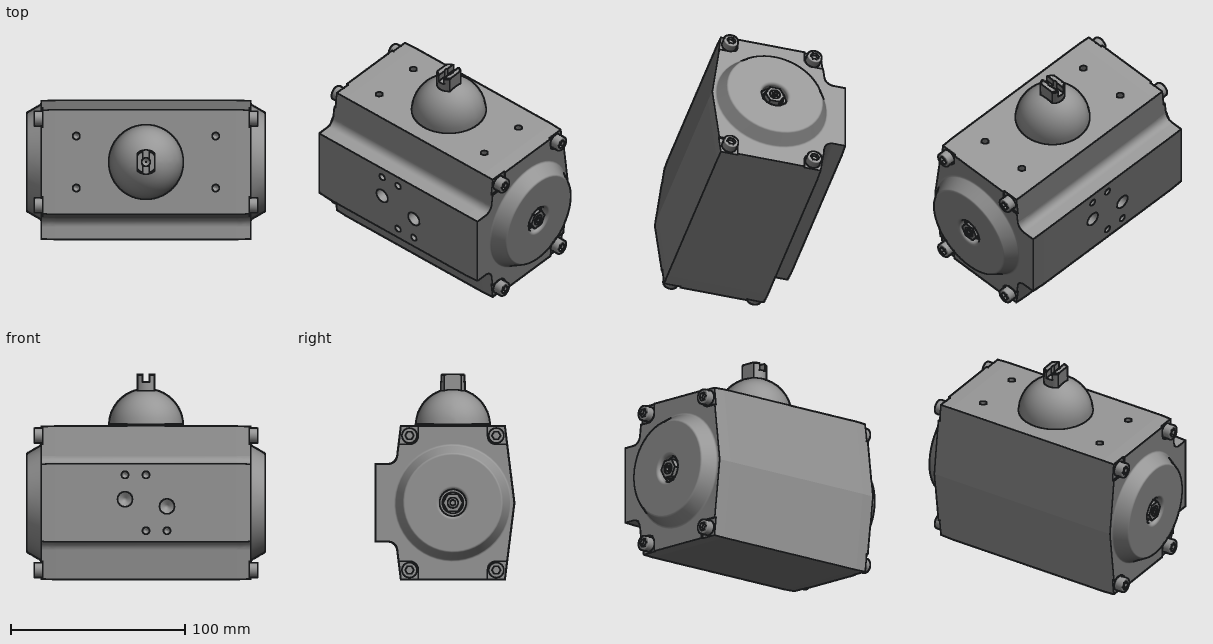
import cadquery as cq
import math

OVERALL_LENGTH = 137.0
DOME_FACE_X = OVERALL_LENGTH / 2
CAP_FACE_X = 60.3
BODY_END_X = 52.0
CAP_LENGTH = CAP_FACE_X - BODY_END_X
CAP_DRAFT = 2.0

BODY_HALF_HEIGHT = 44.1
TOP_HALF_WIDTH = 30.0
REAR_RIDGE_Y = 35.5
PAD_FACE_Y = -44.5
PAD_HALF_HEIGHT = 22.5
PAD_FILLET = 5.1

DOME_FACE_RADIUS = 28.4
DOME_CONE_ANGLE = 30.0
DOME_FILLET = 1.4

RECESS_DIAMETER = 15.3
RECESS_MOUTH_FILLET = 1.9
RECESS_DEPTH = 4.8
WASHER_DIAMETER = 12.0
WASHER_HEIGHT = 0.5
NUT_CORNERS = 11.5
NUT_FACE_DEPTH = 0.5
SCREW_DIAMETER = 6.0
SCREW_PROTRUSION = 0.3
SCREW_SOCKET_FLATS = 3.0
SCREW_SOCKET_DEPTH = 2.0

BOLT_Y = 25.0
BOLT_Z = 38.6
BOLT_HEAD_DIAMETER = 8.6
BOLT_HEAD_END_X = 64.3
BOLT_HEAD_FILLET = 0.5
BOLT_SOCKET_CORNERS = 5.0
BOLT_SOCKET_DEPTH = 2.0
SEAT_RADIUS = 5.1
SEAT_DEPTH = 1.0
SEAT_X = CAP_FACE_X - SEAT_DEPTH

SHAFT_TOP_Z = 73.8
SHAFT_DIAMETER = 14.0
SHAFT_FLATS = 10.0
SHAFT_CHAMFER = 0.7
SHAFT_SLOT_WIDTH = 4.0
SHAFT_SLOT_DEPTH = 4.4
SHAFT_HOLE_DIAMETER = 5.0
SHAFT_HOLE_DEPTH = 6.8
COLLAR_DIAMETER = 22.0
INDICATOR_RADIUS = 21.5
INDICATOR_GAP = 1.1

DRILL_POINT_ANGLE = 118.0
DOWN = (0, 0, -1)
INWARD = (0, 1, 0)
MOUNT_HOLE_DIAMETER = 4.1
MOUNT_HOLE_DEPTH = 8.2
TOP_HOLE_X = 40.0
TOP_HOLE_Y = 15.0
PAD_HOLE_X = 12.0
PAD_HOLE_Z = 16.0
PORT_DIAMETER = 8.6
PORT_DEPTH = 8.2
PORT_Z = 2.0


def body_outline(plane):
    """Cross-section with a ridged rear side and a raised pad at the front."""
    side_slope = (REAR_RIDGE_Y - TOP_HALF_WIDTH) / BODY_HALF_HEIGHT
    pad_root_y = -TOP_HALF_WIDTH - side_slope * (BODY_HALF_HEIGHT - PAD_HALF_HEIGHT)
    points = [
        (REAR_RIDGE_Y, 0),
        (TOP_HALF_WIDTH, BODY_HALF_HEIGHT),
        (-TOP_HALF_WIDTH, BODY_HALF_HEIGHT),
        (pad_root_y, PAD_HALF_HEIGHT),
        (PAD_FACE_Y, PAD_HALF_HEIGHT),
        (PAD_FACE_Y, -PAD_HALF_HEIGHT),
        (pad_root_y, -PAD_HALF_HEIGHT),
        (-TOP_HALF_WIDTH, -BODY_HALF_HEIGHT),
        (TOP_HALF_WIDTH, -BODY_HALF_HEIGHT),
    ]
    return plane.polyline(points).close()


def end_plane(x):
    """Y-Z plane at the given X, facing +X."""
    return cq.Workplane("YZ", origin=(x, 0, 0))


def round_pad_roots(solid):
    """Fillet the two inner edges where the pad meets the sloping side."""
    pad_roots = cq.selectors.BoxSelector(
        (-CAP_FACE_X, -TOP_HALF_WIDTH - 4.1, -PAD_HALF_HEIGHT - 1.4),
        (CAP_FACE_X, -TOP_HALF_WIDTH - 1.4, PAD_HALF_HEIGHT + 1.4),
    )
    return solid.edges(pad_roots).edges("not(#X)").fillet(PAD_FILLET)


def make_half_body():
    """Half of the body with its drafted cap, on the +X side."""
    half_body = round_pad_roots(body_outline(end_plane(0)).extrude(BODY_END_X))
    joint = half_body.faces(">X").wires().toPending()
    cap = joint.workplane().extrude(CAP_LENGTH, taper=CAP_DRAFT, combine=False)
    return half_body.union(cap)


def make_end_dome():
    """Truncated cone on the cap face, blended into it with a concave fillet."""
    spread = math.tan(math.radians(DOME_CONE_ANGLE))
    foot_radius = DOME_FACE_RADIUS + (DOME_FACE_X - CAP_FACE_X) * spread
    flange_radius = foot_radius + DOME_FILLET
    profile = [
        (BODY_END_X, 0),
        (DOME_FACE_X, 0),
        (DOME_FACE_X, DOME_FACE_RADIUS),
        (CAP_FACE_X, foot_radius),
        (CAP_FACE_X, flange_radius),
        (BODY_END_X, flange_radius),
    ]
    dome = cq.Workplane("XY").polyline(profile).close().revolve(360, (0, 0, 0), (1, 0, 0))
    rim = dome.faces(">X").edges()
    foot = dome.edges(cq.selectors.RadiusNthSelector(1))
    return rim.add(foot).fillet(DOME_FILLET)


def cut_stop_recess(solid):
    """Round recess in the dome face with a rounded mouth."""
    floor_x = DOME_FACE_X - RECESS_DEPTH
    recess = end_plane(floor_x).circle(RECESS_DIAMETER / 2).extrude(RECESS_DEPTH)
    mouth = cq.selectors.BoxSelector(
        (DOME_FACE_X - 0.1, -RECESS_DIAMETER, -RECESS_DIAMETER),
        (DOME_FACE_X + 0.1, RECESS_DIAMETER, RECESS_DIAMETER),
        boundingbox=True,
    )
    return solid.cut(recess).edges(mouth).fillet(RECESS_MOUTH_FILLET)


def make_stop_screw():
    """Washer, nut and socketed screw end standing on the recess floor."""
    floor_x = DOME_FACE_X - RECESS_DEPTH
    nut_height = RECESS_DEPTH - NUT_FACE_DEPTH
    screw_height = nut_height + SCREW_PROTRUSION
    washer = end_plane(floor_x).circle(WASHER_DIAMETER / 2).extrude(WASHER_HEIGHT)
    nut = end_plane(floor_x).polygon(6, NUT_CORNERS).extrude(nut_height)
    screw = end_plane(floor_x).circle(SCREW_DIAMETER / 2).extrude(screw_height)
    socket = (
        end_plane(floor_x + screw_height)
        .polygon(6, SCREW_SOCKET_FLATS, circumscribed=True)
        .extrude(-SCREW_SOCKET_DEPTH)
    )
    return washer.union(nut).union(screw).cut(socket)


def make_bolt_seat(side_y, side_z):
    """Cutter for a corner seat, open outwards and rounded around the bolt."""
    reach = 2 * SEAT_RADIUS
    corner_offset = (reach - SEAT_RADIUS) / 2
    block_size = reach + SEAT_RADIUS
    inner_corner = "|X and {}Y and {}Z".format("<" if side_y > 0 else ">", "<" if side_z > 0 else ">")
    return (
        end_plane(SEAT_X)
        .center(side_y * (BOLT_Y + corner_offset), side_z * (BOLT_Z + corner_offset))
        .rect(block_size, block_size)
        .extrude(2 * SEAT_DEPTH)
        .edges(inner_corner)
        .fillet(SEAT_RADIUS)
    )


def make_bolt_head(side_y, side_z):
    """Socket head standing on its corner seat."""
    return (
        end_plane(SEAT_X)
        .center(side_y * BOLT_Y, side_z * BOLT_Z)
        .circle(BOLT_HEAD_DIAMETER / 2)
        .extrude(BOLT_HEAD_END_X - SEAT_X)
        .faces(">X")
        .edges()
        .fillet(BOLT_HEAD_FILLET)
        .faces(">X")
        .workplane(centerOption="CenterOfMass")
        .polygon(6, BOLT_SOCKET_CORNERS)
        .cutBlind(-BOLT_SOCKET_DEPTH)
    )


def make_half():
    """Everything on the +X side, ready to be mirrored."""
    half = make_half_body()
    half = half.union(make_end_dome())
    half = cut_stop_recess(half)
    half = half.union(make_stop_screw())
    for side_y in (-1, 1):
        for side_z in (-1, 1):
            half = half.cut(make_bolt_seat(side_y, side_z))
            half = half.union(make_bolt_head(side_y, side_z))
    return half


def make_shaft():
    """Two-flat shaft end with a slot along Y and a centre hole."""
    height = SHAFT_TOP_Z - BODY_HALF_HEIGHT
    base = cq.Workplane("XY", origin=(0, 0, BODY_HALF_HEIGHT))
    flats = base.rect(SHAFT_FLATS, SHAFT_DIAMETER).extrude(height)
    shaft = base.circle(SHAFT_DIAMETER / 2).extrude(height)
    shaft = shaft.faces(">Z").chamfer(SHAFT_CHAMFER).intersect(flats)
    top = cq.Workplane("XY", origin=(0, 0, SHAFT_TOP_Z))
    slot = top.rect(SHAFT_SLOT_WIDTH, SHAFT_DIAMETER).extrude(-SHAFT_SLOT_DEPTH)
    centre_hole = drill(SHAFT_HOLE_DIAMETER, SHAFT_HOLE_DEPTH, (0, 0, SHAFT_TOP_Z), DOWN)
    return shaft.cut(slot).cut(centre_hole)


def make_indicator():
    """Spherical cap standing on a collar, just clear of the body."""
    collar = (
        cq.Workplane("XY", origin=(0, 0, BODY_HALF_HEIGHT))
        .circle(COLLAR_DIAMETER / 2)
        .extrude(INDICATOR_RADIUS / 2)
    )
    half_space = (
        cq.Workplane("XY", origin=(0, 0, BODY_HALF_HEIGHT + INDICATOR_GAP))
        .circle(INDICATOR_RADIUS)
        .extrude(INDICATOR_RADIUS)
    )
    ball = cq.Workplane("XY", origin=(0, 0, BODY_HALF_HEIGHT)).sphere(INDICATOR_RADIUS)
    return collar.union(ball.intersect(half_space))


def drill(diameter, depth, mouth, direction):
    """Cutter for a blind hole with a conical drill point."""
    radius = diameter / 2
    point_depth = radius / math.tan(math.radians(DRILL_POINT_ANGLE / 2))
    mouth = cq.Vector(*mouth)
    axis = cq.Vector(*direction)
    straight = cq.Solid.makeCylinder(radius, depth, mouth, axis)
    point = cq.Solid.makeCone(radius, 0, point_depth, mouth + axis * depth, axis)
    return straight.fuse(point)


def make_mounting_holes():
    """Cutters for the four holes in the top and the six in the front pad."""
    holes = []
    for x in (-TOP_HOLE_X, TOP_HOLE_X):
        for y in (-TOP_HOLE_Y, TOP_HOLE_Y):
            holes.append(drill(MOUNT_HOLE_DIAMETER, MOUNT_HOLE_DEPTH, (x, y, BODY_HALF_HEIGHT), DOWN))
    for side in (-1, 1):
        for x in (0, side * PAD_HOLE_X):
            mouth = (x, PAD_FACE_Y, -side * PAD_HOLE_Z)
            holes.append(drill(MOUNT_HOLE_DIAMETER, MOUNT_HOLE_DEPTH, mouth, INWARD))
        port_mouth = (side * PAD_HOLE_X, PAD_FACE_Y, -side * PORT_Z)
        holes.append(drill(PORT_DIAMETER, PORT_DEPTH, port_mouth, INWARD))
    return holes


half = make_half()
result = half.union(half.mirror("YZ"))
result = result.union(make_indicator()).union(make_shaft())
for hole in make_mounting_holes():
    result = result.cut(hole)